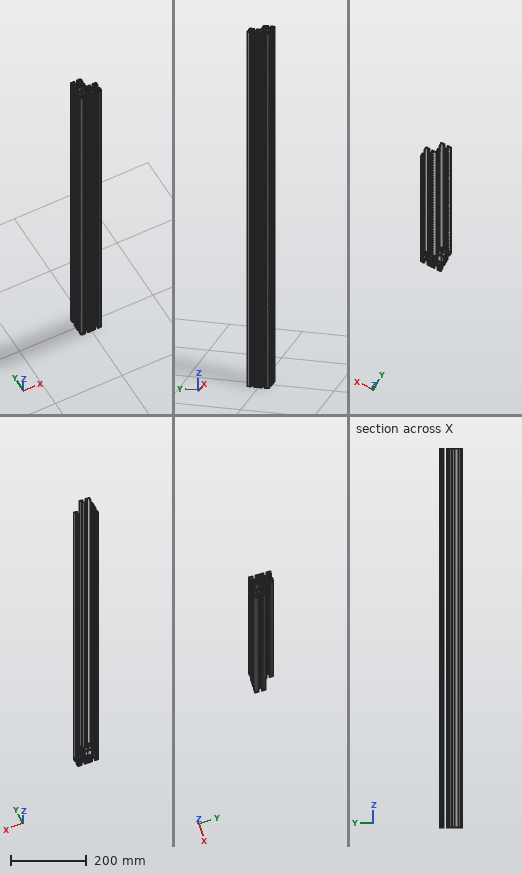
import math

import cadquery as cq

module = 30.0
length = 1000.0
corner_radius = 2.2

slot_opening = 8.2
slot_inner_width = 17.4
lip_thickness = 2.5
slot_depth = 8.7
slot_floor_width = 5.0
flank_rise = 3.2

core_bore = 10.0
skin = 2.1
inner_skin = 2.9
core_wall_offset = 7.6
core_wall_half_width = 4.5
cavity_end_half_width = 3.5
diagonal_rib_thickness = 2.0

seam_half_width = 0.6
seam_depth = 0.6

half = module / 2
outer = 2 * module

corner_cell = (half, half)
x_arm_cell = (half + module, half)
y_arm_cell = (half, half + module)

cells = [
    (corner_cell, [(-1, 0), (0, -1)]),
    (x_arm_cell, [(1, 0), (0, 1), (0, -1)]),
    (y_arm_cell, [(-1, 0), (1, 0), (0, 1)]),
]


def prism(points):
    """Full-length prism over a closed polygon."""
    return cq.Workplane("XY").polyline(points).close().extrude(length)


def swap_axes(points):
    """Reflect points in the diagonal X = Y, the symmetry plane of the L."""
    return [(y, x) for x, y in points]


def blank():
    """L-shaped bar with rounded outer corners and a sharp inside corner."""
    bar = prism([(0, 0), (outer, 0), (outer, module), (module, module), (module, outer), (0, outer)])
    convex_edges = [
        edge
        for edge in bar.edges("|Z").vals()
        if math.hypot(edge.Center().x - module, edge.Center().y - module) > half
    ]
    return bar.newObject(convex_edges).fillet(corner_radius)


def t_slot(center, direction):
    """Cutter for one T-slot: a narrow mouth over a channel with sloping flanks."""
    floor = half - slot_depth
    shoulder = floor + flank_rise
    lip = half - lip_thickness
    one_side = [
        (floor, slot_floor_width / 2),
        (shoulder, slot_inner_width / 2),
        (lip, slot_inner_width / 2),
        (lip, slot_opening / 2),
        (half, slot_opening / 2),
    ]
    profile = one_side + [(out, -side) for out, side in reversed(one_side)]
    dx, dy = direction
    return prism(
        [(center[0] + out * dx - side * dy, center[1] + out * dy + side * dx) for out, side in profile]
    )


def cavity_outline():
    """Cavity between the corner cell and the Y-arm cell, bounded by the diagonal rib."""
    rib_offset = diagonal_rib_thickness / math.sqrt(2)
    inner_x = module - inner_skin
    lower_y = module - core_wall_offset
    upper_y = module + core_wall_offset
    return [
        (skin, module - cavity_end_half_width),
        (half - core_wall_half_width, lower_y),
        (lower_y - rib_offset, lower_y),
        (inner_x, inner_x + rib_offset),
        (inner_x, module + cavity_end_half_width),
        (half + core_wall_half_width, upper_y),
        (half - core_wall_half_width, upper_y),
        (skin, module + cavity_end_half_width),
    ]


def seam_outline():
    """V-groove in the -Y face, midway along the L."""
    return [(module - seam_half_width, 0), (module, seam_depth), (module + seam_half_width, 0)]


result = blank()

for cell_center, openings in cells:
    bore = cq.Workplane("XY").center(*cell_center).circle(core_bore / 2).extrude(length)
    result = result.cut(bore)
    for opening in openings:
        result = result.cut(t_slot(cell_center, opening))

for outline in (cavity_outline(), seam_outline()):
    result = result.cut(prism(outline)).cut(prism(swap_axes(outline)))